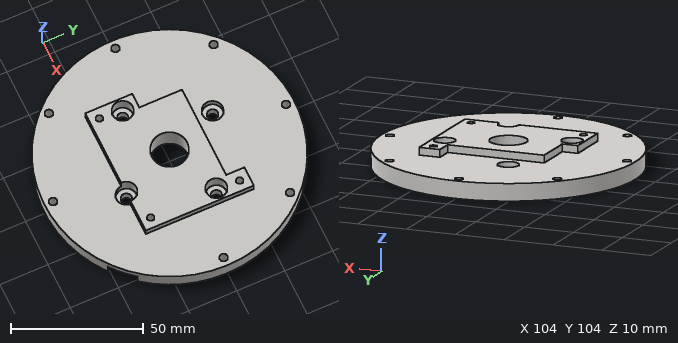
import cadquery as cq
import math

disc_diameter = 104.0
disc_radius = disc_diameter / 2
disc_height = 7.0
pad_height = 3.0
top_z = disc_height + pad_height
bore_diameter = 14.6

rim_hole_diameter = 3.2
rim_hole_radius = 48.5
rim_positions = 8
channel_position = 7
rim_step = 360 / rim_positions

pad_left = -27.1
pad_right = 27.1
pad_bottom = -22.5
pad_top = 22.5
left_step_x = -20.8
left_step_y = -2.9
top_step_x = 18.7
top_step_y = 14.9

pad_hole_diameter = 2.8
pad_hole_x = 23.0
pad_hole_y = 18.5
pad_holes = [(-pad_hole_x, -pad_hole_y), (pad_hole_x, -pad_hole_y), (pad_hole_x, pad_hole_y)]

mount_hole_diameter = 4.3
mount_bore_diameter = 8.3
mount_bore_floor = 4.1
mount_radius = 24.0
mount_count = 4
mount_angle = 22.5

channel_length = 18.7
channel_width = 12.0
channel_height = 4.0


def polar_points(radius, angles):
    return [
        (radius * math.cos(math.radians(angle)), radius * math.sin(math.radians(angle)))
        for angle in angles
    ]


def vertical_cylinders(points, diameter, bottom_z=0):
    return (
        cq.Workplane("XY", origin=(0, 0, bottom_z))
        .pushPoints(points)
        .circle(diameter / 2)
        .extrude(top_z - bottom_z)
    )


def make_pad():
    outline = [
        (pad_left, pad_bottom),
        (pad_right, pad_bottom),
        (pad_right, pad_top),
        (top_step_x, pad_top),
        (top_step_x, top_step_y),
        (left_step_x, top_step_y),
        (left_step_x, left_step_y),
        (pad_left, left_step_y),
    ]
    return cq.Workplane("XY").polyline(outline).close().extrude(top_z)


def make_channel():
    block = cq.Workplane("XY").rect(2 * channel_length, channel_width).extrude(channel_height)
    block = block.translate((disc_radius, 0, 0))
    return block.rotate((0, 0, 0), (0, 0, 1), channel_position * rim_step)


rim_angles = [i * rim_step for i in range(rim_positions) if i != channel_position]
mount_angles = [mount_angle + i * 360 / mount_count for i in range(mount_count)]
rim_points = polar_points(rim_hole_radius, rim_angles)
mount_points = polar_points(mount_radius, mount_angles)

result = cq.Workplane("XY").circle(disc_radius).extrude(disc_height).union(make_pad())
result = result.cut(vertical_cylinders([(0, 0)], bore_diameter))
result = result.cut(vertical_cylinders(rim_points, rim_hole_diameter))
result = result.cut(vertical_cylinders(pad_holes, pad_hole_diameter))
result = result.cut(vertical_cylinders(mount_points, mount_hole_diameter))
result = result.cut(vertical_cylinders(mount_points, mount_bore_diameter, mount_bore_floor))
result = result.cut(make_channel())